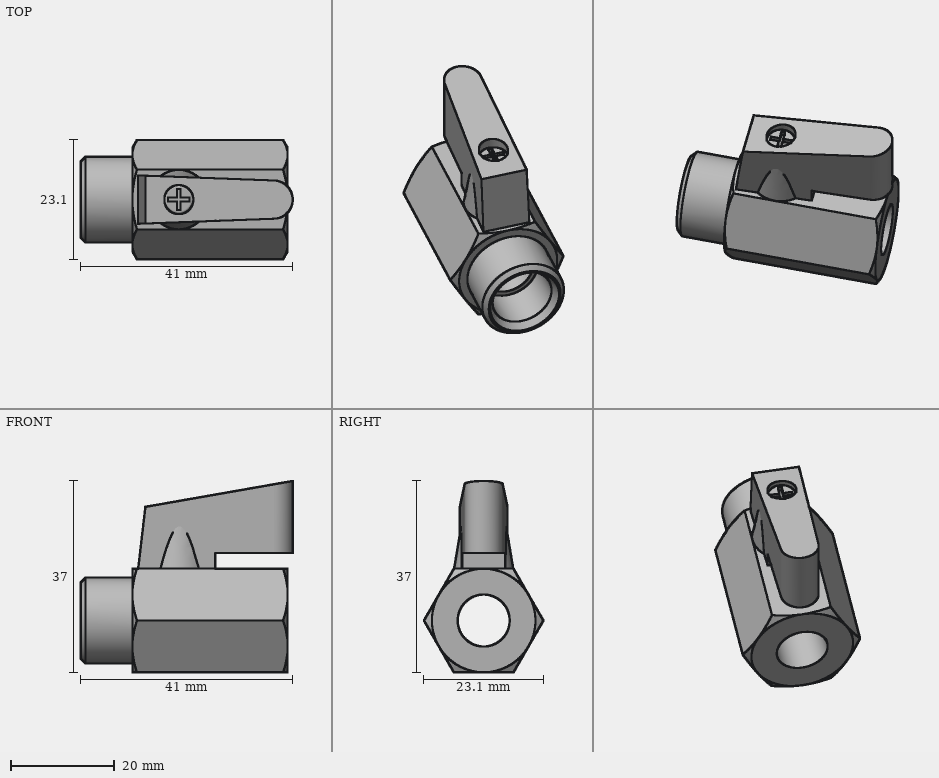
import cadquery as cq
import math

ACROSS_FLATS = 20.0
ACROSS_CORNERS = ACROSS_FLATS / math.cos(math.radians(30))
HEX_START = 10.0
HEX_LENGTH = 30.0
HEX_END = HEX_START + HEX_LENGTH
HEX_CHAMFER_ANGLE = 30
SPIGOT_DIAMETER = 16.65
SPIGOT_CHAMFER = 1.0
BORE_DIAMETER = 10.0
COUNTERBORE_DIAMETER = 12.0
COUNTERBORE_DEPTH = HEX_START
MOUTH_DIAMETER = 14.02
MOUTH_DEPTH = 1.6

SEAT_Z = ACROSS_FLATS / 2
HEEL_BOTTOM_X = 11.1
HEEL_TOP_X = 12.5
HEEL_TOP_Z = 21.98
HEEL_HALF_WIDTH = 4.67
TIP_X = 41.0
TIP_TOP_Z = 26.98
TIP_RADIUS = 3.7
TIP_CENTER_X = TIP_X - TIP_RADIUS
FOOT_END_X = 26.05
GRIP_BOTTOM_Z = 13.05

SPINDLE_X = 19.0
HUB_BOTTOM_DIAMETER = 11.5
HUB_TOP_DIAMETER = 7.8
HUB_HEIGHT = 11.0

SCREW_DIAMETER = 5.6
SCREW_TOP_Z = 21.77
SCREW_HEIGHT = 2.0
SCREW_RIM_FILLET = 0.5
SLOT_LENGTH = 4.1
SLOT_WIDTH = 0.75
SLOT_DEPTH = 1.0
SCREW_BOTTOM_Z = SCREW_TOP_Z - SCREW_HEIGHT


def make_chamfered_hexagon():
    """Hexagonal bar along X, turned at both ends down to its flats."""
    flat_radius = ACROSS_FLATS / 2
    corner_radius = ACROSS_CORNERS / 2
    chamfer_length = (corner_radius - flat_radius) * math.tan(math.radians(HEX_CHAMFER_ANGLE))
    bar = cq.Workplane("YZ").workplane(offset=HEX_START).polygon(6, ACROSS_CORNERS).extrude(HEX_LENGTH)
    turned_envelope = (
        cq.Workplane("XY")
        .moveTo(HEX_START, 0)
        .lineTo(HEX_START, flat_radius)
        .lineTo(HEX_START + chamfer_length, corner_radius)
        .lineTo(HEX_END - chamfer_length, corner_radius)
        .lineTo(HEX_END, flat_radius)
        .lineTo(HEX_END, 0)
        .close()
        .revolve(360, (0, 0, 0), (1, 0, 0))
    )
    return bar.intersect(turned_envelope)


def make_passage():
    """Stepped flow passage, with a conical mouth at the spigot end."""
    mouth_radius = MOUTH_DIAMETER / 2
    counterbore_radius = COUNTERBORE_DIAMETER / 2
    bore_radius = BORE_DIAMETER / 2
    return (
        cq.Workplane("XY")
        .lineTo(0, mouth_radius)
        .lineTo(MOUTH_DEPTH, counterbore_radius)
        .lineTo(COUNTERBORE_DEPTH, counterbore_radius)
        .lineTo(COUNTERBORE_DEPTH, bore_radius)
        .lineTo(HEX_END, bore_radius)
        .lineTo(HEX_END, 0)
        .close()
        .revolve(360, (0, 0, 0), (1, 0, 0))
    )


def make_body():
    spigot = (
        cq.Workplane("YZ")
        .circle(SPIGOT_DIAMETER / 2)
        .extrude(HEX_START)
        .faces("<X")
        .chamfer(SPIGOT_CHAMFER)
    )
    return make_chamfered_hexagon().union(spigot).cut(make_passage())


def make_lever():
    """Side profile of the lever, trimmed to a tapered plan with a round tip."""
    side_profile = (
        cq.Workplane("XZ")
        .moveTo(HEEL_BOTTOM_X, SEAT_Z)
        .lineTo(HEEL_TOP_X, HEEL_TOP_Z)
        .lineTo(TIP_X, TIP_TOP_Z)
        .lineTo(TIP_X, GRIP_BOTTOM_Z)
        .lineTo(FOOT_END_X, GRIP_BOTTOM_Z)
        .lineTo(FOOT_END_X, SEAT_Z)
        .close()
        .extrude(HEEL_HALF_WIDTH, both=True)
    )
    corner_run = TIP_CENTER_X - HEEL_BOTTOM_X
    corner_distance = math.hypot(corner_run, HEEL_HALF_WIDTH)
    tangent_angle = math.acos(TIP_RADIUS / corner_distance) + math.atan2(HEEL_HALF_WIDTH, corner_run)
    tangent_x = TIP_CENTER_X - TIP_RADIUS * math.cos(tangent_angle)
    tangent_y = TIP_RADIUS * math.sin(tangent_angle)
    plan = (
        cq.Workplane("XY")
        .workplane(offset=SEAT_Z)
        .moveTo(HEEL_BOTTOM_X, -HEEL_HALF_WIDTH)
        .lineTo(tangent_x, -tangent_y)
        .threePointArc((TIP_X, 0), (tangent_x, tangent_y))
        .lineTo(HEEL_BOTTOM_X, HEEL_HALF_WIDTH)
        .close()
        .extrude(TIP_TOP_Z - SEAT_Z)
    )
    return side_profile.intersect(plan)


def make_hub():
    return cq.Workplane(
        cq.Solid.makeCone(
            HUB_BOTTOM_DIAMETER / 2,
            HUB_TOP_DIAMETER / 2,
            HUB_HEIGHT,
            cq.Vector(SPINDLE_X, 0, SEAT_Z),
        )
    )


def make_handle():
    screw_hole = (
        cq.Workplane("XY", origin=(SPINDLE_X, 0, SCREW_BOTTOM_Z))
        .circle(SCREW_DIAMETER / 2)
        .extrude(TIP_TOP_Z - SCREW_BOTTOM_Z)
    )
    return make_lever().union(make_hub()).cut(screw_hole)


def make_screw():
    """Cross-slotted screw head with a rounded rim."""
    head = (
        cq.Workplane("XY", origin=(SPINDLE_X, 0, SCREW_BOTTOM_Z))
        .circle(SCREW_DIAMETER / 2)
        .extrude(SCREW_HEIGHT)
        .faces(">Z")
        .fillet(SCREW_RIM_FILLET)
    )
    slot_plane = cq.Workplane("XY", origin=(SPINDLE_X, 0, SCREW_TOP_Z))
    for length_x, length_y in ((SLOT_LENGTH, SLOT_WIDTH), (SLOT_WIDTH, SLOT_LENGTH)):
        head = head.cut(slot_plane.rect(length_x, length_y).extrude(-SLOT_DEPTH))
    return head


body = make_body()
handle = make_handle()
screw = make_screw()

result = cq.Compound.makeCompound([body.val(), handle.val(), screw.val()])